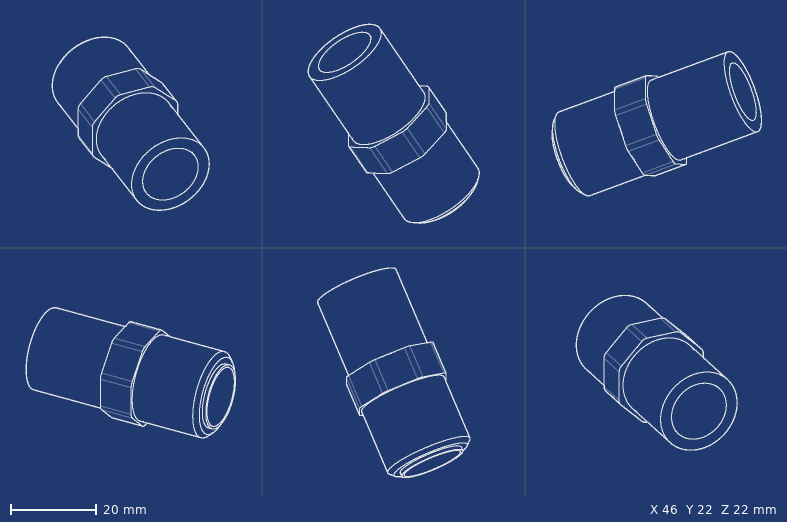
import cadquery as cq

total_length = 46.0
lip_length = 0.9
collar_start = 17.95
collar_length = 8.05
collar_end = collar_start + collar_length

bore_diameter = 14.3
lip_diameter = 15.55
front_diameter = 20.98
rear_diameter = 20.0
across_flats = 22.0
collar_sides = 8

front_chamfer = 1.15
collar_corner_radius = 2.0


def cylinder(diameter, start, end):
    """Round bar along X between two stations."""
    return cq.Workplane("YZ", origin=(start, 0, 0)).circle(diameter / 2).extrude(end - start)


def octagonal_collar():
    """Wrench collar with flats facing Y and Z and rounded corners."""
    plane = cq.Workplane("YZ", origin=(collar_start, 0, 0))
    octagon = plane.polygon(collar_sides, across_flats, circumscribed=True).extrude(collar_length)
    return octagon.edges("|X").fillet(collar_corner_radius)


lip = cylinder(lip_diameter, 0, collar_start)
front_barrel = cylinder(front_diameter, lip_length, collar_start).faces("<X").chamfer(front_chamfer)
rear_barrel = cylinder(rear_diameter, collar_end, total_length)
bore = cylinder(bore_diameter, 0, total_length)

body = lip.union(front_barrel).union(octagonal_collar()).union(rear_barrel)
result = body.cut(bore)